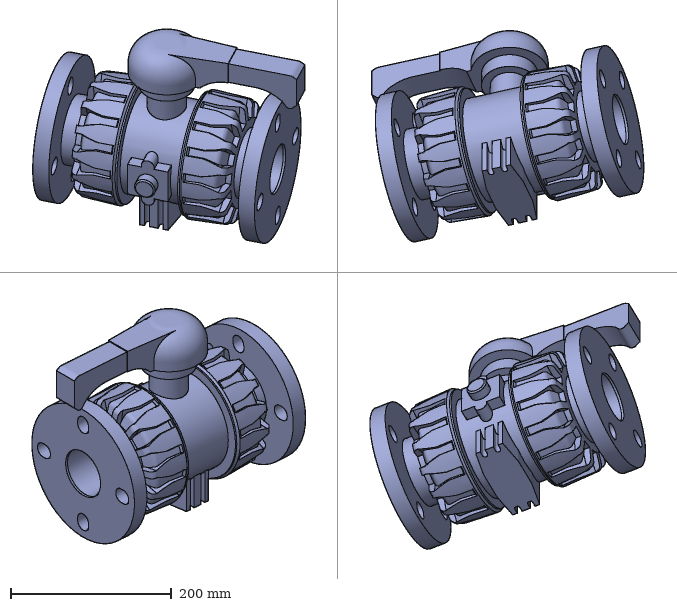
import cadquery as cq
import math


overall_length = 320.0
half_length = 145.0
flange_radius = 94.0
flange_thickness = 21.0
bore_radius = 32.0

stub_radius = 45.0
stub_setback = 3.2
half_body = 80.0

bolt_hole_width = 19.8
bolt_hole_length = 23.7
bolt_circle_radius = 71.7
bolt_count = 4
left_flange_turn = 5.0
right_flange_turn = 0.0

body_radius = 66.2
neck_base_radius = 26.2
neck_top_radius = 24.0
neck_top = 98.2

foot_half_width = 24.0
foot_end_half_width = 18.5
foot_half_depth = 52.8
foot_taper_start = 19.2
foot_bottom = -86.5
foot_groove_offset = 9.0
foot_groove_width = 6.7
foot_groove_depth = 10.0

pad_half_width = 26.2
pad_half_height = 23.0
pad_face = 77.0
lobe_radius = 8.3
lobe_center = 26.0
boss_radius = 13.5
boss_face = 91.0
boss_chamfer = 2.0

nut_inner_end = 39.7
nut_outer_end = 102.5
rim_flat_end = 42.0
rim_chamfer_end = 44.8
rim_end = 47.0
rim_radius = 82.2
rim_face_radius = 79.5
groove_rise = 2.0
groove_rim_radius = 78.7
groove_floor_radius = 75.5
groove_fillet = 7.0
groove_wall_start = 89.5
groove_wall_end = 95.0
groove_wall_tilt = 68.0
hub_radius = 57.5
grip_count = 15
grip_shoulder = 100.5
grip_round = 7.7
grip_half_width = 11.5
grip_taper_start = 68.8
grip_mid = 83.2
grip_mid_half_width = 8.0
grip_tip_start = grip_shoulder - grip_round
grip_tip_half_width = 4.8
grip_end_radius = 80.0
left_nut_turn = 8.8
right_nut_turn = -2.4

collar_radius = 35.0
knob_radius = 48.3
knob_bottom = 118.0
knob_top = 163.8
dome_round = 31.5
arm_start = 9.5
arm_start_half_width = 22.7
arm_end = 85.7
arm_end_half_width = 17.5
arm_top = 163.0
arm_underside_start = 49.5
arm_underside_mid = (64.5, 128.5)

handgrip_top = 161.5
handgrip_bottom = 132.8
lever_half_width = 16.3
lever_end = overall_length - half_length
curl_start = 120.5
curl_mid = (140.5, 129.0)
curl_end = (156.5, 118.7)
tip_start = (160.5, 113.3)
tip_bottom = (165.5, 110.5)
tip_end = (170.2, 113.3)
end_face_bottom = 117.7
end_face_top = 157.5
nose_start = 166.5
nose_mid = (169.3, 161.0)
nose_end = (171.5, 159.7)


def x_cylinder(radius, start, end):
    """Cylinder on the flow axis from start to end."""
    return cq.Workplane("YZ").workplane(offset=start).circle(radius).extrude(end - start)


def z_cylinder(radius, bottom, top):
    """Cylinder on the stem axis from bottom to top."""
    return cq.Workplane("XY").workplane(offset=bottom).circle(radius).extrude(top - bottom)


def turned_about_x(shape, angle):
    return shape.rotate((0, 0, 0), (1, 0, 0), angle)


def mirrored_to_left(shape):
    return shape.mirror("YZ")


def make_stub():
    """Stub pipe on the +X side, from the valve body into the flange."""
    stub_end = half_length - stub_setback
    return x_cylinder(stub_radius, half_body, stub_end).cut(x_cylinder(bore_radius, half_body, stub_end))


def make_flange(turn):
    """Flange on the +X side, with a socket for the stub and a thin lip in front of it."""
    inner_face = half_length - flange_thickness
    flange = x_cylinder(flange_radius, inner_face, half_length)
    flange = flange.cut(x_cylinder(bore_radius, inner_face, half_length))
    flange = flange.cut(x_cylinder(stub_radius, inner_face, half_length - stub_setback))
    bolt_hole = (
        cq.Workplane("YZ")
        .workplane(offset=inner_face)
        .center(bolt_circle_radius, 0)
        .slot2D(bolt_hole_length, bolt_hole_width)
        .extrude(flange_thickness)
    )
    for i in range(bolt_count):
        flange = flange.cut(turned_about_x(bolt_hole, turn + i * 360 / bolt_count))
    return flange


def make_grip_outline():
    """Prism along -Y with the outline of one grip: parallel at the rim, narrowing to the outer end."""
    return (
        cq.Workplane("XZ")
        .moveTo(rim_end, -grip_half_width)
        .lineTo(grip_taper_start, -grip_half_width)
        .threePointArc((grip_mid, -grip_mid_half_width), (grip_tip_start, -grip_tip_half_width))
        .lineTo(nut_outer_end, -grip_tip_half_width)
        .lineTo(nut_outer_end, grip_tip_half_width)
        .lineTo(grip_tip_start, grip_tip_half_width)
        .threePointArc((grip_mid, grip_mid_half_width), (grip_taper_start, grip_half_width))
        .lineTo(rim_end, grip_half_width)
        .close()
        .extrude(rim_radius)
    )


def revolved_about_x(profile):
    return profile.close().revolve(360, (0, 0, 0), (1, 0, 0))


def make_nut(turn):
    """Union nut on the +X side: a grooved ring with raised grips and a lip around the stub."""
    round_mid = grip_round * math.sqrt(0.5)
    wall_tilt = math.radians(groove_wall_tilt)
    fillet_start = groove_wall_start - groove_fillet * math.sin(wall_tilt)
    fillet_center_radius = groove_floor_radius - groove_fillet
    core = revolved_about_x(
        cq.Workplane("XY")
        .moveTo(nut_inner_end, body_radius)
        .lineTo(nut_inner_end, rim_face_radius)
        .lineTo(rim_flat_end, rim_face_radius)
        .lineTo(rim_chamfer_end, rim_radius)
        .lineTo(rim_end, rim_radius)
        .lineTo(rim_end + groove_rise, groove_rim_radius)
        .lineTo(fillet_start, groove_floor_radius)
        .threePointArc(
            (
                fillet_start + groove_fillet * math.sin(wall_tilt / 2),
                fillet_center_radius + groove_fillet * math.cos(wall_tilt / 2),
            ),
            (groove_wall_start, fillet_center_radius + groove_fillet * math.cos(wall_tilt)),
        )
        .lineTo(groove_wall_end, hub_radius)
        .lineTo(nut_outer_end, hub_radius)
        .lineTo(nut_outer_end, stub_radius)
        .lineTo(half_body, stub_radius)
        .lineTo(half_body, body_radius)
    )
    round_center_radius = grip_end_radius - grip_round
    grip_envelope = revolved_about_x(
        cq.Workplane("XY")
        .moveTo(rim_end, body_radius)
        .lineTo(rim_end, rim_radius)
        .lineTo(grip_tip_start, grip_end_radius)
        .threePointArc(
            (grip_tip_start + round_mid, round_center_radius + round_mid),
            (grip_shoulder, round_center_radius),
        )
        .lineTo(nut_outer_end, hub_radius)
        .lineTo(half_body, hub_radius)
        .lineTo(half_body, body_radius)
    )
    grip = make_grip_outline().intersect(grip_envelope)
    nut = core
    for i in range(grip_count):
        nut = nut.union(turned_about_x(grip, turn + i * 360 / grip_count))
    return nut


def make_foot():
    """Foot with tapered ends and two round-bottomed vertical grooves in each end face."""
    corners = [
        (foot_end_half_width, -foot_half_depth),
        (foot_half_width, -foot_taper_start),
        (foot_half_width, foot_taper_start),
        (foot_end_half_width, foot_half_depth),
    ]
    outline = corners + [(-x, y) for x, y in reversed(corners)]
    foot = cq.Workplane("XY").workplane(offset=foot_bottom).polyline(outline).close().extrude(-foot_bottom)
    groove_places = [
        (x, y)
        for x in (-foot_groove_offset, foot_groove_offset)
        for y in (-foot_half_depth, foot_half_depth)
    ]
    grooves = (
        cq.Workplane("XY")
        .workplane(offset=foot_bottom)
        .pushPoints(groove_places)
        .slot2D(2 * foot_groove_depth, foot_groove_width, 90)
        .extrude(-foot_bottom)
    )
    return foot.cut(grooves)


def make_pad():
    """Rectangular pad with a half-round lobe above and below, carrying a chamfered boss."""
    pad = cq.Workplane("XZ").rect(2 * pad_half_width, 2 * pad_half_height).extrude(pad_face)
    lobes = (
        cq.Workplane("XZ")
        .slot2D(2 * (lobe_center + lobe_radius), 2 * lobe_radius, 90)
        .extrude(pad_face)
    )
    boss = cq.Workplane("XZ").circle(boss_radius).extrude(boss_face).faces("<Y").chamfer(boss_chamfer)
    return pad.union(lobes).union(boss)


def make_body():
    """Valve body with its stem neck, foot and mounting pad, bored through along X."""
    neck = (
        cq.Workplane("XY")
        .circle(neck_base_radius)
        .workplane(offset=neck_top)
        .circle(neck_top_radius)
        .loft()
    )
    body = x_cylinder(body_radius, -half_body, half_body)
    body = body.union(neck).union(make_foot()).union(make_pad())
    return body.cut(x_cylinder(bore_radius, -half_body, half_body))


def make_arm():
    """Tapering arm from the knob to the handgrip, hollowed underneath."""
    plan = (
        cq.Workplane("XY")
        .workplane(offset=knob_bottom)
        .polyline([
            (arm_start, -arm_start_half_width),
            (arm_end, -arm_end_half_width),
            (arm_end, arm_end_half_width),
            (arm_start, arm_start_half_width),
        ])
        .close()
        .extrude(arm_top - knob_bottom)
    )
    side = (
        cq.Workplane("XZ")
        .moveTo(arm_start, knob_bottom)
        .lineTo(arm_underside_start, knob_bottom)
        .threePointArc(arm_underside_mid, (arm_end, handgrip_bottom))
        .lineTo(arm_end, arm_top)
        .lineTo(arm_start, arm_top)
        .close()
        .extrude(arm_start_half_width, both=True)
    )
    return plan.intersect(side)


def make_handgrip():
    """Straight handgrip with a rounded, turned-down tip."""
    return (
        cq.Workplane("XZ")
        .moveTo(arm_end, handgrip_bottom)
        .lineTo(curl_start, handgrip_bottom)
        .threePointArc(curl_mid, curl_end)
        .lineTo(*tip_start)
        .threePointArc(tip_bottom, tip_end)
        .lineTo(lever_end, end_face_bottom)
        .lineTo(lever_end, end_face_top)
        .lineTo(*nose_end)
        .threePointArc(nose_mid, (nose_start, handgrip_top))
        .lineTo(arm_end, handgrip_top)
        .close()
        .extrude(lever_half_width, both=True)
    )


def make_handle():
    """Domed knob on a collar, with the lever pointing along +X."""
    collar = z_cylinder(collar_radius, neck_top, knob_bottom)
    knob = z_cylinder(knob_radius, knob_bottom, knob_top).faces(">Z").edges().fillet(dome_round)
    return collar.union(knob).union(make_arm()).union(make_handgrip())


body = make_body()
handle = make_handle()
right_stub = make_stub()
left_stub = mirrored_to_left(right_stub)
right_flange = make_flange(right_flange_turn)
left_flange = mirrored_to_left(make_flange(left_flange_turn))
right_nut = make_nut(right_nut_turn)
left_nut = mirrored_to_left(make_nut(left_nut_turn))

result = cq.Compound.makeCompound([
    body.val(),
    handle.val(),
    left_stub.val(),
    right_stub.val(),
    left_flange.val(),
    right_flange.val(),
    left_nut.val(),
    right_nut.val(),
])